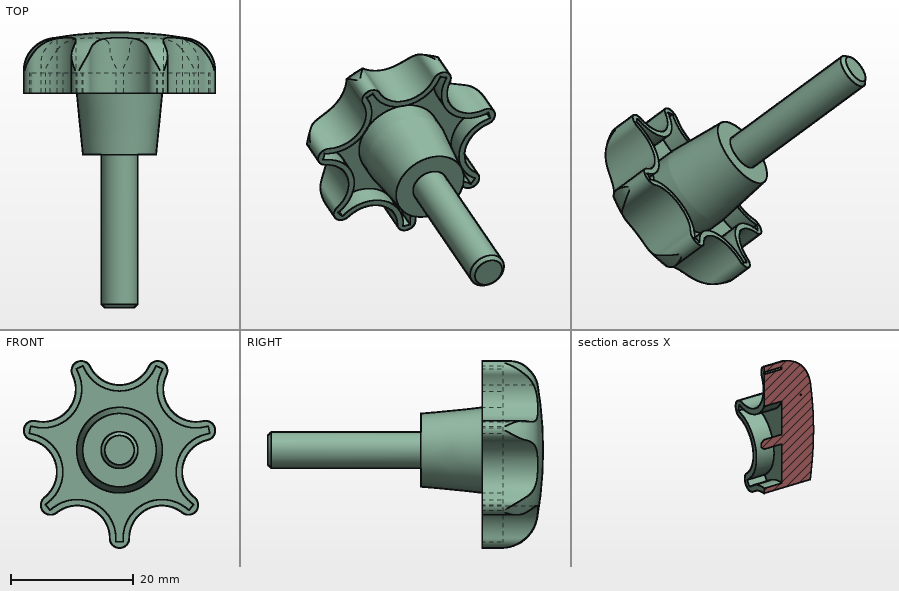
import cadquery as cq
import math


lobe_count = 7
head_radius = 16.0
lobe_tip_radius = 1.6
head_height = 10.0
crown_radius = 64.0
rim_round_radius = 6.0

wall = 1.0
cavity_depth = 3.4

boss_base_diameter = 14.0
boss_end_diameter = 12.0
boss_length = 10.0
stud_diameter = 6.0
stud_length = 25.0
stud_chamfer = 0.6

half_pitch = math.pi / lobe_count
lobe_center_radius = head_radius - lobe_tip_radius
scallop_center_radius = lobe_center_radius / math.cos(half_pitch)
scallop_radius = lobe_center_radius * math.tan(half_pitch) - lobe_tip_radius
first_lobe_angle = -math.pi / 2


def polar(radius, angle):
    return (radius * math.cos(angle), radius * math.sin(angle))


def lobe_point(angle, radius, side_offset):
    """Point at a radius along the lobe direction, shifted sideways by side_offset."""
    x, z = polar(radius, angle)
    shift_x, shift_z = polar(side_offset, angle + math.pi / 2)
    return (x + shift_x, z + shift_z)


def star_prism(inset, depth, square_tips):
    """Star-shaped prism from Y = 0 to Y = depth, its outline moved inward by inset."""
    half_width = lobe_tip_radius - inset
    tip_radius = head_radius - inset
    scallop_floor_radius = scallop_center_radius - scallop_radius - inset

    start = lobe_point(first_lobe_angle, lobe_center_radius, -half_width)
    outline = cq.Workplane("XZ").moveTo(*start)
    for index in range(lobe_count):
        angle = first_lobe_angle + 2 * half_pitch * index
        next_angle = angle + 2 * half_pitch
        lobe_exit = lobe_point(angle, lobe_center_radius, half_width)
        next_lobe_entry = lobe_point(next_angle, lobe_center_radius, -half_width)
        if square_tips:
            outline = outline.lineTo(*lobe_point(angle, tip_radius, -half_width))
            outline = outline.lineTo(*lobe_point(angle, tip_radius, half_width))
            outline = outline.lineTo(*lobe_exit)
        else:
            outline = outline.threePointArc(polar(tip_radius, angle), lobe_exit)
        scallop_floor = polar(scallop_floor_radius, angle + half_pitch)
        outline = outline.threePointArc(scallop_floor, next_lobe_entry)
    return outline.close().extrude(-depth)


def domed_blank():
    """Turned blank with a shallow spherical crown and a rim round tangent to it."""
    round_center_x = head_radius - rim_round_radius
    crown_center_y = head_height - crown_radius
    center_distance = crown_radius - rim_round_radius
    round_center_y = crown_center_y + math.sqrt(center_distance**2 - round_center_x**2)

    tangent_angle = math.asin(round_center_x / center_distance)

    def crown_point(angle):
        return (crown_radius * math.sin(angle), crown_center_y + crown_radius * math.cos(angle))

    round_mid_angle = (tangent_angle + math.pi / 2) / 2
    round_mid = (
        round_center_x + rim_round_radius * math.sin(round_mid_angle),
        round_center_y + rim_round_radius * math.cos(round_mid_angle),
    )
    return (
        cq.Workplane("XY")
        .lineTo(head_radius, 0)
        .lineTo(head_radius, round_center_y)
        .threePointArc(round_mid, crown_point(tangent_angle))
        .threePointArc(crown_point(tangent_angle / 2), (0, head_height))
        .close()
        .revolve(360, (0, 0, 0), (0, 1, 0))
    )


def boss_and_stud():
    """Cylindrical root inside the cavity, tapered boss below it, and chamfered stud."""
    boss_base_radius = boss_base_diameter / 2
    boss_end_radius = boss_end_diameter / 2
    stud_radius = stud_diameter / 2
    stud_end = -boss_length - stud_length
    return (
        cq.Workplane("XY")
        .moveTo(0, cavity_depth)
        .lineTo(boss_base_radius, cavity_depth)
        .lineTo(boss_base_radius, 0)
        .lineTo(boss_end_radius, -boss_length)
        .lineTo(stud_radius, -boss_length)
        .lineTo(stud_radius, stud_end + stud_chamfer)
        .lineTo(stud_radius - stud_chamfer, stud_end)
        .lineTo(0, stud_end)
        .close()
        .revolve(360, (0, 0, 0), (0, 1, 0))
    )


head = star_prism(0, head_height, square_tips=False).intersect(domed_blank())
hollow_head = head.cut(star_prism(wall, cavity_depth, square_tips=True))
result = hollow_head.union(boss_and_stud())